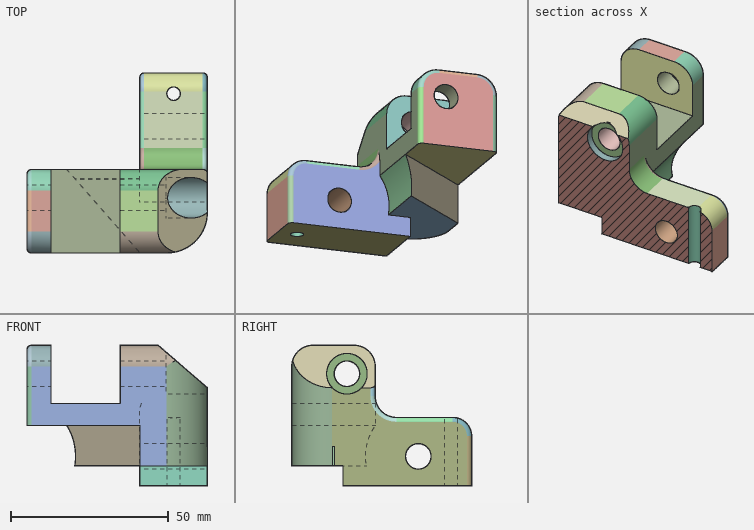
import cadquery as cq
import math

SIDE_X = 57.15
BLOCK_DEPTH = 26.5
BLOCK_BOTTOM_Z = 6.3
TOP_Z = 44.5
TOP_ROUND = 6.8
EDGE_ROUND = 1.5
SLOT_LEFT_X = 7.65
SLOT_RIGHT_X = 29.5
SLOT_FLOOR_Z = 26.1

RELIEF_TOP_Z = 19.05
RELIEF_FRONT_X = 35.85
RELIEF_BACK_X = 12.6

CORNER_ROUND = 12.9
LIP_X = 57.2
LIP_TOP_Z = 12.4
LIP_RUN = 0.6

SLOPE_START_X = 41.5
SLOPE_END_Z = 31.0

BOLT_Y = 17.5
BOLT_Z = 35.45
HOLE_D = 8.0
BOLT_HEAD_D = 12.85
BOLT_HEAD_FLOOR_X = 44.0

LEG_LEFT_X = 35.7
LEG_FRONT_Y = 16.2
LEG_BACK_Y = 57.05
LEG_TOP_Z = 21.65
LEG_END_ROUND = 6.0
LEG_NECK_ROUND = 6.7
PIVOT_Y = 40.1
PIVOT_Z = 9.3
PIVOT_CLEARANCE_R = 16.75
PIN_HOLE_D = 4.2
PIN_Y = 50.45

MARGIN = 10.0


def box(x0, x1, y0, y1, z0, z1):
    return cq.Workplane("XY").box(x1 - x0, y1 - y0, z1 - z0, centered=False).translate((x0, y0, z0))


def x_cylinder(diameter, y, z, x0, x1):
    """Cylinder along X, centred on (y, z)."""
    return cq.Workplane("YZ", origin=(x0, y, z)).circle(diameter / 2).extrude(x1 - x0)


def corner_plan():
    """Block outline, with the front-right corner rounded, as a prism."""
    arc_x = SIDE_X - CORNER_ROUND
    diagonal = CORNER_ROUND * math.sqrt(0.5)
    return (
        cq.Workplane("XY", origin=(0, 0, BLOCK_BOTTOM_Z))
        .lineTo(arc_x, 0)
        .threePointArc((arc_x + diagonal, CORNER_ROUND - diagonal), (SIDE_X, CORNER_ROUND))
        .lineTo(SIDE_X, BLOCK_DEPTH)
        .lineTo(0, BLOCK_DEPTH)
        .close()
        .extrude(TOP_Z - BLOCK_BOTTOM_Z)
    )


def make_block():
    """Solid block with its rounds and the lip, before any cuts."""
    block = box(0, SIDE_X, 0, BLOCK_DEPTH, BLOCK_BOTTOM_Z, TOP_Z)
    block = block.edges("|X and >Z").fillet(TOP_ROUND)
    block = block.faces("|X").edges("not <Z").fillet(EDGE_ROUND)
    block = block.intersect(corner_plan())
    lip_root_x = SIDE_X - EDGE_ROUND
    lip_back_y = CORNER_ROUND + LIP_RUN
    lip = box(lip_root_x, LIP_X, CORNER_ROUND, lip_back_y, BLOCK_BOTTOM_Z, LIP_TOP_Z)
    return block.union(lip)


def make_relief():
    """Wedge below the left lug, bounded by the slanted wall."""
    return (
        cq.Workplane("XY")
        .moveTo(-MARGIN, 0)
        .lineTo(RELIEF_FRONT_X, 0)
        .lineTo(RELIEF_BACK_X, BLOCK_DEPTH)
        .lineTo(-MARGIN, BLOCK_DEPTH)
        .close()
        .extrude(RELIEF_TOP_Z)
    )


def make_slope():
    """Wedge of material above the sloping face."""
    gradient = (TOP_Z - SLOPE_END_Z) / (SIDE_X - SLOPE_START_X)
    end_x = SIDE_X + MARGIN
    return (
        cq.Workplane("XZ", origin=(0, BLOCK_DEPTH, 0))
        .moveTo(SLOPE_START_X, TOP_Z)
        .lineTo(end_x, TOP_Z)
        .lineTo(end_x, TOP_Z - gradient * (end_x - SLOPE_START_X))
        .close()
        .extrude(BLOCK_DEPTH)
    )


def make_leg():
    """Leg with the stem that joins it to the block, its side edges rounded."""
    end_diagonal = LEG_END_ROUND * (1 - math.sqrt(0.5))
    neck_diagonal = LEG_NECK_ROUND * (1 - math.sqrt(0.5))
    stem_top_z = BOLT_Z - BOLT_HEAD_D / 2
    leg = (
        cq.Workplane("YZ", origin=(LEG_LEFT_X, 0, 0))
        .moveTo(LEG_FRONT_Y, 0)
        .lineTo(LEG_BACK_Y, 0)
        .lineTo(LEG_BACK_Y, LEG_TOP_Z - LEG_END_ROUND)
        .threePointArc(
            (LEG_BACK_Y - end_diagonal, LEG_TOP_Z - end_diagonal),
            (LEG_BACK_Y - LEG_END_ROUND, LEG_TOP_Z),
        )
        .lineTo(BLOCK_DEPTH + LEG_NECK_ROUND, LEG_TOP_Z)
        .threePointArc(
            (BLOCK_DEPTH + neck_diagonal, LEG_TOP_Z + neck_diagonal),
            (BLOCK_DEPTH, LEG_TOP_Z + LEG_NECK_ROUND),
        )
        .lineTo(BLOCK_DEPTH, stem_top_z)
        .lineTo(LEG_FRONT_Y, stem_top_z)
        .close()
        .extrude(SIDE_X - LEG_LEFT_X)
    )
    leg = leg.edges("|Z and >Y").fillet(EDGE_ROUND)
    return leg


def cut_block(block):
    """Slot, sloping face and the two reliefs under the left lug."""
    block = block.cut(make_relief())
    block = block.cut(x_cylinder(2 * PIVOT_CLEARANCE_R, PIVOT_Y, PIVOT_Z, -MARGIN, LEG_LEFT_X))
    block = block.cut(box(SLOT_LEFT_X, SLOT_RIGHT_X, 0, BLOCK_DEPTH, SLOT_FLOOR_Z, TOP_Z))
    return block.cut(make_slope())


def drill(part):
    """Bolt hole with its head recess, pivot hole and the upright pin hole in the leg."""
    far_x = SIDE_X + MARGIN
    part = part.cut(x_cylinder(HOLE_D, BOLT_Y, BOLT_Z, -MARGIN, far_x))
    part = part.cut(x_cylinder(BOLT_HEAD_D, BOLT_Y, BOLT_Z, BOLT_HEAD_FLOOR_X, far_x))
    part = part.cut(x_cylinder(HOLE_D, PIVOT_Y, PIVOT_Z, -MARGIN, far_x))
    pin_x = (LEG_LEFT_X + SIDE_X) / 2
    pin_hole = cq.Workplane("XY").center(pin_x, PIN_Y).circle(PIN_HOLE_D / 2).extrude(LEG_TOP_Z)
    return part.cut(pin_hole)


result = drill(cut_block(make_block()).union(make_leg()))